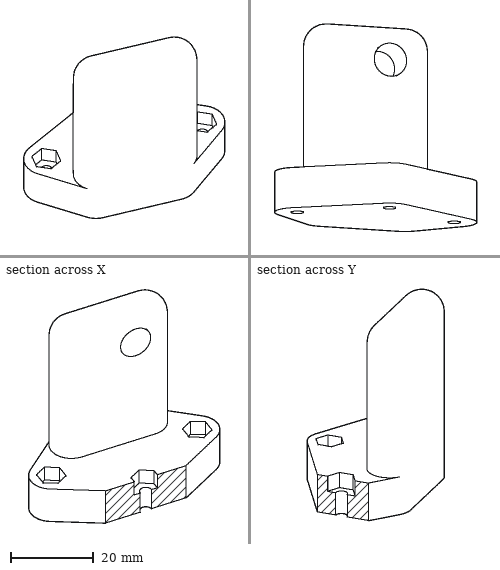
import cadquery as cq
import math

plate_thickness = 10.0
plate_radius = 5.5
side_screw_y = 19.875
edge_angle = math.radians(60)
side_screw_x = side_screw_y / math.tan(edge_angle)

screw_diameter = 3.0
nut_across_flats = 6.2
nut_depth = 4.0

post_x = 20.0
post_end_y = 10.0
post_thickness = 2 * plate_radius
post_length = 2 * post_end_y + post_thickness
total_height = 49.0
top_flat = 0.02
post_fillet = (post_thickness - top_flat) / 2

pin_diameter = 8.2
pin_y = -4.65
pin_z = 40.0
pin_depth = 10.0

screw_points = [(0, 0), (side_screw_x, side_screw_y), (side_screw_x, -side_screw_y)]
plate_corners = [
    (0, 0),
    (side_screw_x, -side_screw_y),
    (post_x, -post_end_y),
    (post_x, post_end_y),
    (side_screw_x, side_screw_y),
]


def make_plate():
    """Polygon through the corner centres, grown outward with round corners."""
    outline = cq.Workplane("XY").polyline(plate_corners).close()
    return outline.offset2D(plate_radius, "arc").extrude(plate_thickness)


def make_post():
    """Slot-shaped column with half-round ends, its top rim rounded over into a dome."""
    column = cq.Workplane("XY").center(post_x, 0).slot2D(post_length, post_thickness, 90).extrude(total_height)
    return column.faces(">Z").edges().fillet(post_fillet)


def make_screw_cuts():
    """Through holes, each opening into a hexagonal pocket at the plate's top."""
    nut_across_corners = nut_across_flats / math.cos(math.radians(30))
    holes = cq.Workplane("XY").pushPoints(screw_points).circle(screw_diameter / 2).extrude(plate_thickness)
    pockets = (
        cq.Workplane("XY", origin=(0, 0, plate_thickness - nut_depth))
        .pushPoints(screw_points)
        .polygon(6, nut_across_corners)
        .extrude(nut_depth)
    )
    return holes.union(pockets)


def make_pin_cut():
    """Blind round hole entering the post along +X."""
    face_x = post_x - post_thickness / 2
    return cq.Workplane("YZ", origin=(face_x, pin_y, pin_z)).circle(pin_diameter / 2).extrude(pin_depth)


result = make_plate().union(make_post()).cut(make_screw_cuts()).cut(make_pin_cut())